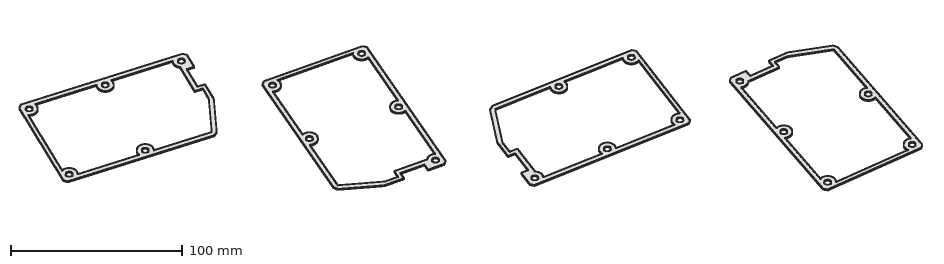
import cadquery as cq
import math

width = 68.2
length = 107.0
thickness = 1.0

side_wall = 3.0
end_wall = 2.6
corner_chamfer = 1.9

notch_start = 12.4
notch_end = 28.0
notch_depth = 4.7

slope_start = 40.9
slope_drop = 10.0

hole_diameter = 4.2
hole_inset = 5.0
boss_radius = hole_inset

left, right = -width / 2, width / 2
bottom, top = -length / 2, length / 2
notch_left, notch_right = left + notch_start, left + notch_end
slope_left = left + slope_start
slope_angle = math.atan2(slope_drop, right - slope_left)

hole_left, hole_right = left + hole_inset, right - hole_inset
hole_bottom, hole_top = bottom + hole_inset, top - hole_inset
hole_centers = [
    (hole_left, hole_top),
    (hole_left, 0),
    (hole_right, 0),
    (hole_left, hole_bottom),
    (hole_right, hole_bottom),
]


def extrude_outline(points):
    return cq.Workplane("XY").polyline(points).close().extrude(thickness)


def make_plate():
    """Solid outer shape, including the notch and the sloping edge."""
    slope_corner_x = right - corner_chamfer * math.cos(slope_angle)
    slope_corner_y = top - slope_drop + corner_chamfer * math.sin(slope_angle)
    return extrude_outline([
        (left + corner_chamfer, bottom),
        (right - corner_chamfer, bottom),
        (right, bottom + corner_chamfer),
        (right, top - slope_drop - corner_chamfer),
        (slope_corner_x, slope_corner_y),
        (slope_left, top),
        (notch_right, top),
        (notch_right, top - notch_depth),
        (notch_left, top - notch_depth),
        (notch_left, top),
        (left + corner_chamfer, top),
        (left, top - corner_chamfer),
        (left, bottom + corner_chamfer),
    ])


def make_opening():
    """Central opening, with the bosses left standing."""
    inner_left, inner_right = left + side_wall, right - side_wall
    inner_top, inner_bottom = top - end_wall, bottom + end_wall
    below_notch = top - notch_depth - side_wall
    beside_notch = notch_right + end_wall

    slope = math.tan(slope_angle)
    vertical_wall = side_wall / math.cos(slope_angle)
    inner_slope_left = slope_left - (vertical_wall - end_wall) / slope
    inner_slope_end = inner_top - (inner_right - inner_slope_left) * slope

    opening = extrude_outline([
        (inner_left, inner_bottom),
        (inner_right, inner_bottom),
        (inner_right, inner_slope_end),
        (inner_slope_left, inner_top),
        (beside_notch, inner_top),
        (beside_notch, below_notch),
        (inner_left, below_notch),
    ])
    return opening.cut(make_cylinders(boss_radius))


def make_cylinders(radius):
    """One cylinder through the full thickness at every screw position."""
    return cq.Workplane("XY").pushPoints(hole_centers).circle(radius).extrude(thickness)


gasket = make_plate().cut(make_opening())
result = gasket.cut(make_cylinders(hole_diameter / 2))